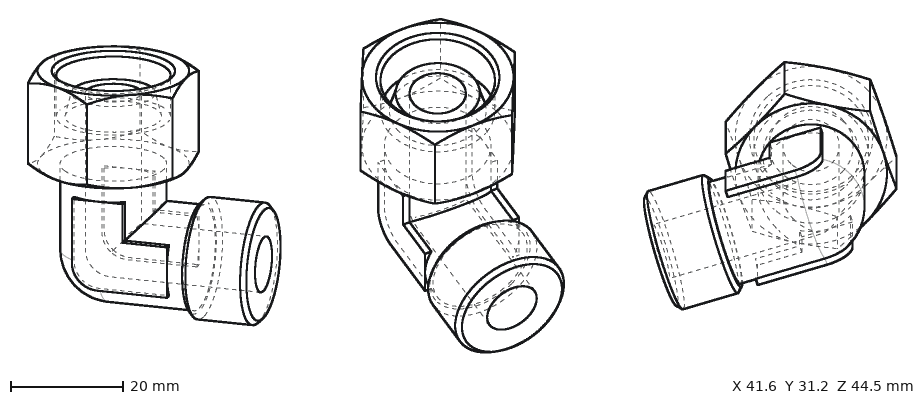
import cadquery as cq
import math

pipe_dia = 19.0
bore_dia = 10.0

nut_across_flats = 27.0
nut_bottom = 16.0
nut_top = 33.5
nut_corner_angle = 30.0
nut_bore_dia = 20.4
nut_mouth_dia = 22.0

tube_tip_dia = 15.0
tube_shoulder_dia = 17.2
tube_tip_depth = 4.15
tube_cone_height = 4.45

collar_dia = 22.0
collar_start = 16.0
collar_end = 28.05
collar_chamfer = 0.9

pad_half_width = pipe_dia / 4
pad_top = 12.0
pad_end = 13.0

pipe_radius = pipe_dia / 2
bore_radius = bore_dia / 2
tube_tip = nut_top - tube_tip_depth
tube_shoulder = tube_tip - tube_cone_height


def elbow_solid(radius, top, end):
    """Two round legs joined by a ball at the corner."""
    vertical = cq.Workplane("XY").circle(radius).extrude(top)
    horizontal = cq.Workplane("YZ").circle(radius).extrude(end)
    corner = cq.Workplane("XY").sphere(radius)
    return vertical.union(horizontal).union(corner)


def side_pads():
    """L-shaped plate whose two faces lie tangent to the legs."""
    return (
        cq.Workplane("XZ")
        .moveTo(-pad_half_width, pad_top)
        .lineTo(pad_half_width, pad_top)
        .lineTo(pad_half_width, pad_half_width)
        .lineTo(pad_end, pad_half_width)
        .lineTo(pad_end, -pad_half_width)
        .lineTo(0, -pad_half_width)
        .radiusArc((-pad_half_width, 0), pad_half_width)
        .close()
        .extrude(pipe_radius, both=True)
    )


def revolved(profile):
    """Solid of revolution about Z from (radius, height) points."""
    return cq.Workplane("XZ").polyline(profile).close().revolve(360, (0, 0), (0, 1))


def nut():
    """Hexagon with corners at +Y and -Y, cone-chamfered at both ends."""
    corner_dia = nut_across_flats / math.cos(math.pi / 6)
    corner_radius = corner_dia / 2
    flat_radius = nut_across_flats / 2
    drop = (corner_radius - flat_radius) * math.tan(math.radians(nut_corner_angle))
    hexagon = (
        cq.Workplane("XY", origin=(0, 0, nut_bottom))
        .transformed(rotate=(0, 0, 90))
        .polygon(6, corner_dia)
        .extrude(nut_top - nut_bottom)
    )
    envelope = revolved([
        (0, nut_bottom),
        (flat_radius, nut_bottom),
        (corner_radius, nut_bottom + drop),
        (corner_radius, nut_top - drop),
        (flat_radius, nut_top),
        (0, nut_top),
    ])
    return hexagon.intersect(envelope)


def nut_recess():
    """Bore of the nut with a 45 degree mouth, open down to the tube shoulder."""
    mouth_radius = nut_mouth_dia / 2
    recess_radius = nut_bore_dia / 2
    return revolved([
        (0, tube_shoulder),
        (recess_radius, tube_shoulder),
        (recess_radius, nut_top - (mouth_radius - recess_radius)),
        (mouth_radius, nut_top),
        (0, nut_top),
    ])


def tube_tip_cone():
    return revolved([
        (0, tube_shoulder),
        (tube_shoulder_dia / 2, tube_shoulder),
        (tube_tip_dia / 2, tube_tip),
        (0, tube_tip),
    ])


def collar():
    return (
        cq.Workplane("YZ", origin=(collar_start, 0, 0))
        .circle(collar_dia / 2)
        .extrude(collar_end - collar_start)
        .edges()
        .chamfer(collar_chamfer)
    )


body = elbow_solid(pipe_radius, nut_bottom, collar_end).union(side_pads()).union(collar())
nut_end = nut().cut(nut_recess()).union(tube_tip_cone())
result = body.union(nut_end).cut(elbow_solid(bore_radius, nut_top, collar_end))